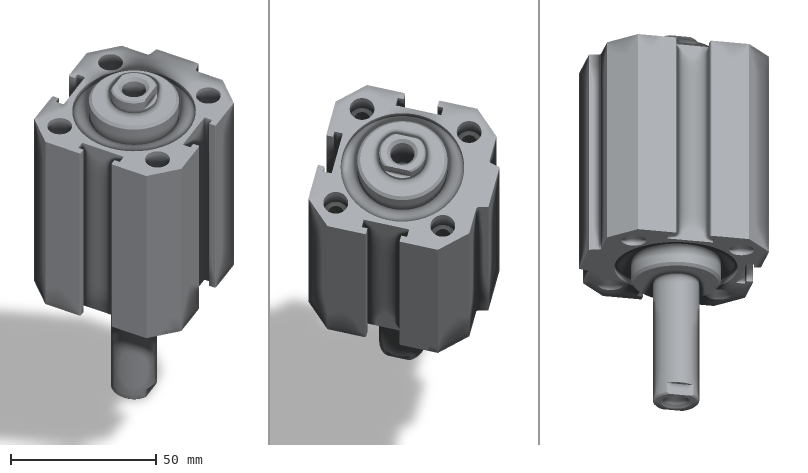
import cadquery as cq

housing_width = 57.0
housing_height = 73.7
corner_chamfer = 9.0
half_width = housing_width / 2

overall_depth = 61
rail_height = overall_depth - housing_width
rail_base_width = 19
rail_top_width = 16.3
rail_foot_bevel = 0.5

slot_opening = 11.9
slot_mouth_chamfer = 0.3
slot_inner_width = 16.1
slot_lip = 2.5
slot_depth = 5.4

mount_offset = 19
mount_diameter = 5.3
counterbore_diameter = 8.5
counterbore_depth = 7.0

recess_diameter = 42.5
recess_depth = 2.0
collar_diameter = 31.0
collar_height = 5.8
collar_chamfer = 1.0

rod_diameter = 16.0
rod_length = 135.5
rod_top_extension = 10.8
rod_chamfer = 0.5
rod_top = housing_height + rod_top_extension
rod_bottom = rod_top - rod_length
flat_spacing = 13.0
flat_length_top = 3.8
flat_length_bottom = 4

socket_diameter = 8.4
socket_mouth_diameter = 10.6
socket_depth = 14.9


def cylinder(diameter, z_start, height):
    return cq.Workplane("XY").workplane(offset=z_start).circle(diameter / 2).extrude(height)


def make_slot(angle):
    """T-shaped cutter with a chamfered mouth towards -Y, turned about Z by the given angle."""
    half_opening = slot_opening / 2
    half_mouth = half_opening + slot_mouth_chamfer
    half_inner = slot_inner_width / 2
    mouth_y = slot_mouth_chamfer - half_width
    lip_y = slot_lip - half_width
    floor_y = slot_depth - half_width
    cutter = (
        cq.Workplane("XY")
        .moveTo(-half_mouth, -half_width)
        .lineTo(-half_opening, mouth_y)
        .lineTo(-half_opening, lip_y)
        .lineTo(-half_inner, lip_y)
        .lineTo(-half_inner, floor_y)
        .lineTo(half_inner, floor_y)
        .lineTo(half_inner, lip_y)
        .lineTo(half_opening, lip_y)
        .lineTo(half_opening, mouth_y)
        .lineTo(half_mouth, -half_width)
        .close()
        .extrude(housing_height)
    )
    return cutter.rotate((0, 0, 0), (0, 0, 1), angle)


def make_rail():
    """Trapezoidal rail on the +Y side, with a 45 degree bevel along each foot."""
    half_base = rail_base_width / 2
    half_foot = half_base - rail_foot_bevel
    half_top = rail_top_width / 2
    foot_y = half_width + rail_foot_bevel
    top_y = half_width + rail_height
    return (
        cq.Workplane("XY")
        .moveTo(-half_base, half_width)
        .lineTo(half_base, half_width)
        .lineTo(half_foot, foot_y)
        .lineTo(half_top, top_y)
        .lineTo(-half_top, top_y)
        .lineTo(-half_foot, foot_y)
        .close()
        .extrude(housing_height)
    )


def make_mount_holes():
    """Four through holes with a counterbore at each end."""
    hole = cylinder(mount_diameter, 0, housing_height)
    hole = hole.union(cylinder(counterbore_diameter, 0, counterbore_depth))
    upper_start = housing_height - counterbore_depth
    hole = hole.union(cylinder(counterbore_diameter, upper_start, counterbore_depth))
    spots = cq.Workplane("XY").rect(2 * mount_offset, 2 * mount_offset, forConstruction=True)
    return spots.vertices().eachpoint(hole.val(), combine=True)


def make_housing():
    body = (
        cq.Workplane("XY")
        .rect(housing_width, housing_width)
        .extrude(housing_height)
        .edges("|Z")
        .chamfer(corner_chamfer)
    )
    body = body.union(make_rail())
    for angle in (-90, 0, 90):
        body = body.cut(make_slot(angle))
    body = body.cut(make_mount_holes())

    for recess_start in (0, housing_height - recess_depth):
        body = body.cut(cylinder(recess_diameter, recess_start, recess_depth))

    collar_length = housing_height + 2 * collar_height
    collar = cylinder(collar_diameter, -collar_height, collar_length)
    collar = collar.faces("<Z or >Z").chamfer(collar_chamfer)
    body = body.union(collar)
    return body.cut(cylinder(rod_diameter, -collar_height, collar_length))


def make_flats(z_start, length):
    """Cutter that leaves two flats facing -X and +X on one end of the rod."""
    blank = cylinder(2 * rod_diameter, z_start, length)
    kept_core = (
        cq.Workplane("XY")
        .workplane(offset=z_start)
        .rect(flat_spacing, 2 * rod_diameter)
        .extrude(length)
    )
    return blank.cut(kept_core)


def make_socket():
    """Blind hole with a 45 degree mouth, opening upwards at the rod top."""
    mouth_depth = (socket_mouth_diameter - socket_diameter) / 2
    return (
        cq.Workplane("XZ")
        .moveTo(0, rod_top)
        .lineTo(socket_mouth_diameter / 2, rod_top)
        .lineTo(socket_diameter / 2, rod_top - mouth_depth)
        .lineTo(socket_diameter / 2, rod_top - socket_depth)
        .lineTo(0, rod_top - socket_depth)
        .close()
        .revolve(360, (0, 0, 0), (0, 1, 0))
    )


def make_rod():
    rod = cylinder(rod_diameter, rod_bottom, rod_length)
    rod = rod.faces("<Z or >Z").chamfer(rod_chamfer)
    rod = rod.cut(make_flats(rod_top - flat_length_top, flat_length_top))
    rod = rod.cut(make_flats(rod_bottom, flat_length_bottom))

    socket = make_socket()
    rod_middle = (rod_top + rod_bottom) / 2
    rod = rod.cut(socket)
    return rod.cut(socket.mirror("XY", (0, 0, rod_middle)))


housing = make_housing()
rod = make_rod()
result = cq.Compound.makeCompound([housing.val(), rod.val()])